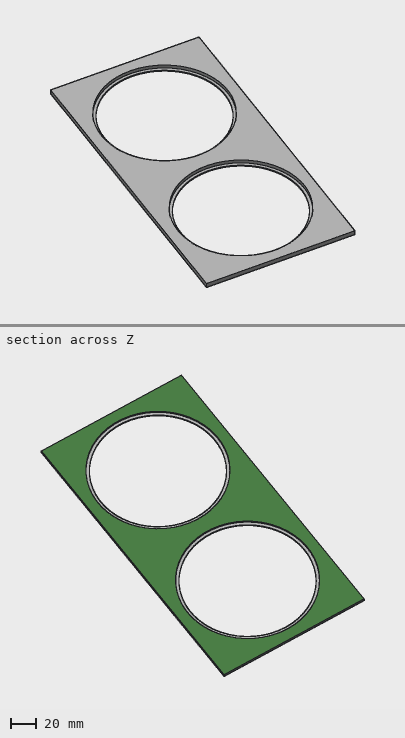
import cadquery as cq

plate_length = 255.0
plate_width = 130.0
plate_thickness = 4.0

opening_spacing = 125.0
through_diameter = 105.8
recess_diameter = 111.0
ledge_thickness = 1.0
recess_depth = plate_thickness - ledge_thickness

opening_centres = [(-opening_spacing / 2, 0), (opening_spacing / 2, 0)]

plate = cq.Workplane("XY").box(
    plate_length, plate_width, plate_thickness, centered=(True, True, False)
)

result = (
    plate.faces(">Z")
    .workplane(origin=(0, 0, plate_thickness))
    .pushPoints(opening_centres)
    .cboreHole(through_diameter, recess_diameter, recess_depth)
)